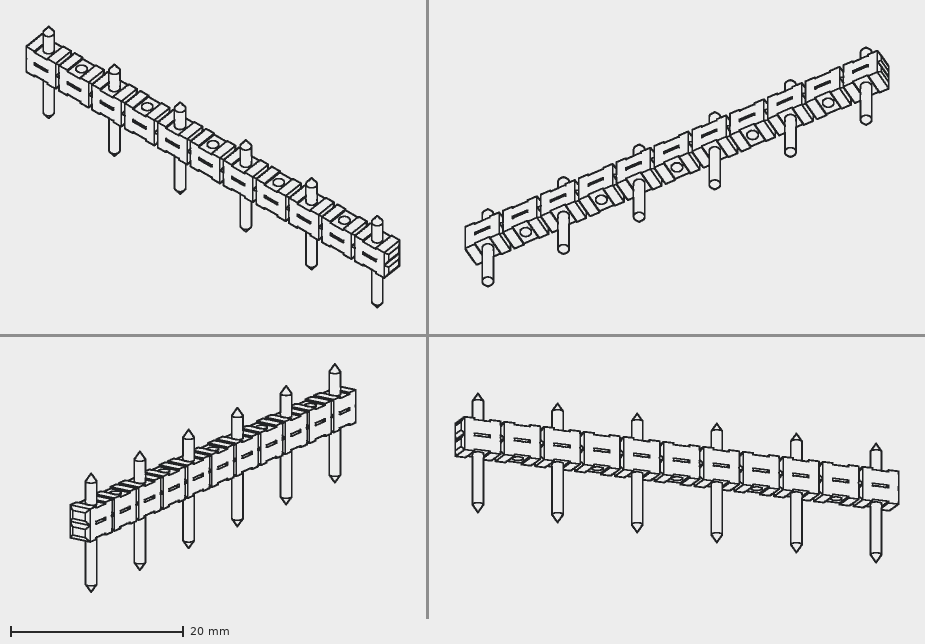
import cadquery as cq

strip_length = 55.0
block_count = 11
pitch = strip_length / block_count

block_gap = 0.5
block_length = pitch - block_gap
block_width = 2.8
block_height = 4.0

pads_per_end = 2
pad_reach = block_gap / 2
pad_inset = 0.5
pad_base_height = block_height / pads_per_end

notch_length = 2.0
notch_depth = 0.2
slot_length = notch_length
slot_height = 0.3

pin_diameter = 1.3
pin_radius = pin_diameter / 2
pin_length = 14.5
pin_rise = 3.5
pin_tip = 1.0
blocks_per_pin = 2

pin_top = block_height / 2 + pin_rise
pin_bottom = pin_top - pin_length


def make_pad(side, z_center):
    """Truncated pyramid on the block end face; side is +1 for the +X end, -1 for the -X end."""
    end_face = cq.Plane(
        origin=(side * block_length / 2, 0, z_center),
        xDir=(0, 1, 0),
        normal=(side, 0, 0),
    )
    return (
        cq.Workplane(end_face)
        .rect(block_width, pad_base_height)
        .workplane(offset=pad_reach)
        .rect(block_width - 2 * pad_inset, pad_base_height - 2 * pad_inset)
        .loft(combine=True)
    )


def make_block():
    """One block centred on the origin, with notches, slot, vertical bore and end pads."""
    block = cq.Workplane("XY").box(block_length, block_width, block_height)

    notch = cq.Workplane("XY").box(notch_length, block_width, 2 * notch_depth)
    for z_face in (block_height / 2, -block_height / 2):
        block = block.cut(notch.translate((0, 0, z_face)))

    block = block.cut(cq.Workplane("XY").box(slot_length, block_width, slot_height))
    block = block.cut(cq.Workplane("XY").circle(pin_radius).extrude(block_height / 2, both=True))

    for side in (-1, 1):
        for level in range(pads_per_end):
            z_center = (level + 0.5) * pad_base_height - block_height / 2
            block = block.union(make_pad(side, z_center))
    return block


def make_pin():
    """Round pin on the Z axis, with a conical point at both ends."""
    return (
        cq.Workplane("XZ")
        .moveTo(0, pin_bottom)
        .lineTo(pin_radius, pin_bottom + pin_tip)
        .lineTo(pin_radius, pin_top - pin_tip)
        .lineTo(0, pin_top)
        .close()
        .revolve(360, (0, 0, 0), (0, 1, 0))
    )


block = make_block()
pin = make_pin()

result = cq.Workplane("XY")
for index in range(block_count):
    x_center = (index + 0.5) * pitch - strip_length / 2
    result = result.union(block.translate((x_center, 0, 0)))
    if index % blocks_per_pin == 0:
        result = result.union(pin.translate((x_center, 0, 0)))